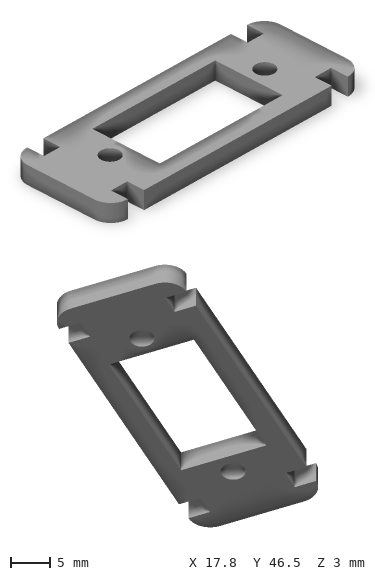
import cadquery as cq

length = 46.5
width = 17.8
thickness = 3.0
corner_radius = 3.0

notch_size = 2.98
notch_offset = length / 2 - corner_radius - notch_size / 2

window_width = 11.9
window_length = 22.6
hole_diameter = 3.2
hole_spacing = 28.45


def make_plate():
    plate = cq.Workplane("XY").box(width, length, thickness)
    return plate.edges("|Z").fillet(corner_radius)


def make_notches():
    centres = [(x * width / 2, y * notch_offset) for x in (-1, 1) for y in (-1, 1)]
    notches = cq.Workplane("XY").pushPoints(centres)
    return notches.box(2 * notch_size, notch_size, thickness)


def make_window():
    return cq.Workplane("XY").box(window_width, window_length, thickness)


def make_holes():
    centres = [(0, -hole_spacing / 2), (0, hole_spacing / 2)]
    holes = cq.Workplane("XY").pushPoints(centres).circle(hole_diameter / 2)
    return holes.extrude(thickness / 2, both=True)


result = make_plate().cut(make_notches()).cut(make_window()).cut(make_holes())